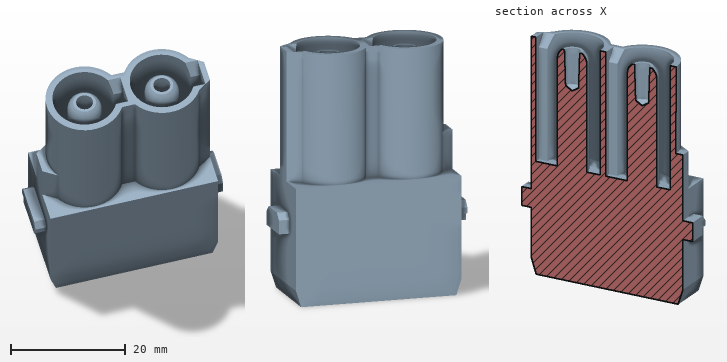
import cadquery as cq
import math

block_width = 14.65
block_length = 30.35
overall_length = 34.2
shoulder_z = 21.4
total_height = 44.85
bevel_inset = 1.0
bevel_height = 3.0

socket_pitch = 14.0
socket_outer_dia = 13.65
socket_inner_dia = 11.2
cavity_floor_z = shoulder_z
neck_width = 7.1
rib_face_width = 3.95
low_rib_top_z = 28.5

slot_reach = 7.18
slot_width = 2.0
slot_mouth_width = 5.3
slot_flare_depth = 2.3

pin_dia = 6.0
pin_tip_dia = 4.0
pin_tip_z = total_height - 1.2
pin_nose_length = 2.0
pin_nose_radius = 2.38
bore_mouth_dia = 2.95
bore_bottom_dia = 2.5
bore_depth = 6.73
drill_point_angle = 118

lug_projection = (overall_length - block_length) / 2
lug_bottom_z = 12.42
lug_step_z = 13.85
lug_chamfer_z = 14.95
lug_top_z = 16.05
front_lug_width = 9.0
front_lug_neck_width = 7.1
rear_lug_width = 7.18
rear_lug_top_width = 4.9

half_length = block_length / 2
socket_y_positions = (-socket_pitch / 2, socket_pitch / 2)


def make_block():
    """Rectangular block with its bottom edges at both Y ends bevelled."""
    outline = [
        (-half_length + bevel_inset, 0),
        (half_length - bevel_inset, 0),
        (half_length, bevel_height),
        (half_length, shoulder_z),
        (-half_length, shoulder_z),
        (-half_length, bevel_height),
    ]
    return cq.Workplane("YZ").polyline(outline).close().extrude(block_width / 2, both=True)


def make_end_rib(end, top_z):
    """Tapered rib from a tube to the block's end face; end is +1 for +Y, -1 for -Y."""
    axis_y = end * socket_pitch / 2
    base_offset = math.sqrt((socket_outer_dia / 2) ** 2 - (neck_width / 2) ** 2)
    base_y = axis_y + end * base_offset
    face_y = end * half_length
    outline = [
        (-neck_width / 2, axis_y),
        (-neck_width / 2, base_y),
        (-rib_face_width / 2, face_y),
        (rib_face_width / 2, face_y),
        (neck_width / 2, base_y),
        (neck_width / 2, axis_y),
    ]
    rib = cq.Workplane("XY").workplane(offset=shoulder_z).polyline(outline).close()
    return rib.extrude(top_z - shoulder_z)


def make_tower():
    """Two solid tubes joined by the neck and carrying the end ribs."""
    tower_height = total_height - shoulder_z
    base = cq.Workplane("XY").workplane(offset=shoulder_z)
    tower = base.rect(neck_width, socket_pitch).extrude(tower_height)
    for y in socket_y_positions:
        tower = tower.union(base.center(0, y).circle(socket_outer_dia / 2).extrude(tower_height))
    tower = tower.union(make_end_rib(1, total_height))
    return tower.union(make_end_rib(-1, low_rib_top_z))


def make_cavity(y):
    """Round cavity with its key slot."""
    depth = total_height - cavity_floor_z
    cavity = cq.Workplane("XY", origin=(0, y, cavity_floor_z)).circle(socket_inner_dia / 2).extrude(depth)
    flare_z = total_height - slot_flare_depth
    outline = [
        (-slot_width / 2, cavity_floor_z),
        (slot_width / 2, cavity_floor_z),
        (slot_width / 2, flare_z),
        (slot_mouth_width / 2, total_height),
        (-slot_mouth_width / 2, total_height),
        (-slot_width / 2, flare_z),
    ]
    slot = cq.Workplane("XZ", origin=(0, y, 0)).polyline(outline).close().extrude(-slot_reach)
    return cavity.union(slot)


def make_pin(y):
    """Pin with a rounded nose and a blind tapered bore, revolved about its axis."""
    nose_z = pin_tip_z - pin_nose_length
    bore_bottom_z = pin_tip_z - bore_depth
    point_depth = bore_bottom_dia / 2 / math.tan(math.radians(drill_point_angle / 2))
    profile = (
        cq.Workplane("XZ", origin=(0, y, 0))
        .moveTo(0, cavity_floor_z)
        .lineTo(pin_dia / 2, cavity_floor_z)
        .lineTo(pin_dia / 2, nose_z)
        .radiusArc((pin_tip_dia / 2, pin_tip_z), -pin_nose_radius)
        .lineTo(bore_mouth_dia / 2, pin_tip_z)
        .lineTo(bore_bottom_dia / 2, bore_bottom_z)
        .lineTo(0, bore_bottom_z - point_depth)
        .close()
    )
    return profile.revolve(360, (0, 0, 0), (0, 1, 0))


def make_front_lug():
    """Lug on the -Y face: chamfered on top and stepped in underneath."""
    half_neck = front_lug_neck_width / 2
    half_wide = front_lug_width / 2
    outline = [
        (-half_neck, lug_bottom_z),
        (half_neck, lug_bottom_z),
        (half_neck, lug_step_z),
        (half_wide, lug_step_z),
        (half_wide, lug_chamfer_z),
        (half_neck, lug_top_z),
        (-half_neck, lug_top_z),
        (-half_wide, lug_chamfer_z),
        (-half_wide, lug_step_z),
        (-half_neck, lug_step_z),
    ]
    face = cq.Workplane("XZ", origin=(0, -half_length, 0))
    return face.polyline(outline).close().extrude(lug_projection)


def make_rear_lug():
    """Lug on the +Y face: chamfered on top, straight sides below."""
    half_wide = rear_lug_width / 2
    half_top = rear_lug_top_width / 2
    outline = [
        (-half_wide, lug_bottom_z),
        (half_wide, lug_bottom_z),
        (half_wide, lug_chamfer_z),
        (half_top, lug_top_z),
        (-half_top, lug_top_z),
        (-half_wide, lug_chamfer_z),
    ]
    face = cq.Workplane("XZ", origin=(0, half_length, 0))
    return face.polyline(outline).close().extrude(-lug_projection)


result = make_block().union(make_tower())
for socket_y in socket_y_positions:
    result = result.cut(make_cavity(socket_y)).union(make_pin(socket_y))
result = result.union(make_front_lug()).union(make_rear_lug())